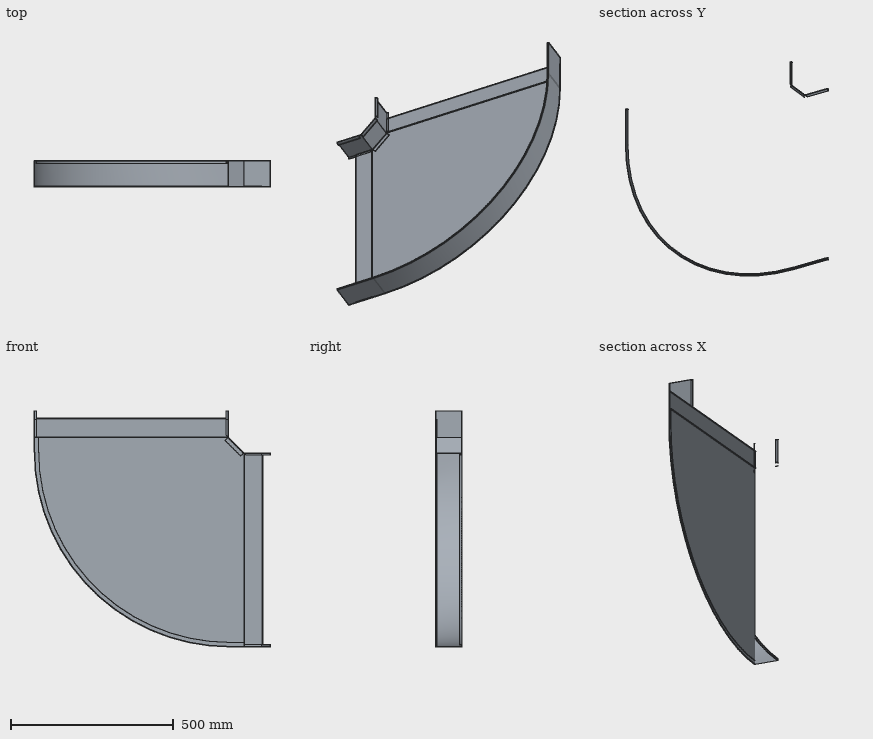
import cadquery as cq
import math

SIZE = 725.0
DEPTH = 82.0
SHEET = 1.5
BEND_RADIUS = 1.5
RIM_RADIUS = 3.5
ARC_RADIUS = 600.0
CHANNEL_WIDTH = 596.0
END_LENGTH = 81.0
RIM_WIDTH = 7.0
RIM_RETURN = 9.0
WIDE_FLANGE = 14.0
PANEL_SETBACK = 22.5
STEP_LENGTH = 1.5

END_START = SIZE - END_LENGTH
CORNER_LENGTH = (END_START - CHANNEL_WIDTH) * math.sqrt(2)
SYMMETRY_NORMAL = (1, 0, -1)


def mirrored(body):
    """Copy of a body reflected in the plane X = Z."""
    return body.mirror(SYMMETRY_NORMAL)


def wall_section(plane, front_flange):
    """C-section of a wall: local x runs from the outer face into the duct, local y is depth."""
    back_inside = DEPTH - SHEET
    bend_end = DEPTH - BEND_RADIUS
    rim_bend = RIM_WIDTH - RIM_RADIUS
    lip_start = DEPTH - RIM_RADIUS
    lip_end = DEPTH - RIM_RETURN
    return (
        cq.Workplane(plane)
        .moveTo(front_flange, 0)
        .lineTo(BEND_RADIUS, 0)
        .radiusArc((0, BEND_RADIUS), BEND_RADIUS)
        .lineTo(0, bend_end)
        .radiusArc((BEND_RADIUS, DEPTH), BEND_RADIUS)
        .lineTo(rim_bend, DEPTH)
        .radiusArc((RIM_WIDTH, lip_start), RIM_RADIUS)
        .lineTo(RIM_WIDTH, lip_end)
        .lineTo(RIM_WIDTH - SHEET, lip_end)
        .lineTo(RIM_WIDTH - SHEET, lip_start)
        .radiusArc((rim_bend, back_inside), SHEET - RIM_RADIUS)
        .lineTo(SHEET, back_inside)
        .lineTo(SHEET, SHEET)
        .lineTo(front_flange, SHEET)
        .close()
    )


def make_outer_wall():
    """Curved wall with a straight end on each side."""
    arc_plane = cq.Plane((0, 0, ARC_RADIUS), xDir=(1, 0, 0), normal=(0, 0, 1))
    end_plane = cq.Plane((0, 0, END_START), xDir=(1, 0, 0), normal=(0, 0, 1))
    curve = wall_section(arc_plane, WIDE_FLANGE).revolve(90, (ARC_RADIUS, 0), (ARC_RADIUS, -1))
    run_in = wall_section(arc_plane, WIDE_FLANGE).extrude(END_START - ARC_RADIUS)
    end = wall_section(end_plane, RIM_WIDTH).extrude(END_LENGTH)
    side = run_in.union(end)
    return curve.union(side).union(mirrored(side))


def make_inner_wall():
    """Two straight ends joined by a 45 degree corner face; the rims are cut free at both bends."""
    end_plane = cq.Plane((CHANNEL_WIDTH, 0, SIZE), xDir=(-1, 0, 0), normal=(0, 0, -1))
    end = wall_section(end_plane, RIM_WIDTH).extrude(END_LENGTH)
    mitre = (
        cq.Workplane("XZ")
        .polyline([
            (CHANNEL_WIDTH - SHEET, END_START),
            (CHANNEL_WIDTH - RIM_WIDTH, END_START),
            (CHANNEL_WIDTH - RIM_WIDTH, END_START + RIM_WIDTH),
            (CHANNEL_WIDTH - SHEET, END_START + SHEET),
        ])
        .close()
        .extrude(-DEPTH)
    )
    bend = (
        cq.Workplane("XY", origin=(CHANNEL_WIDTH, 0, END_START))
        .moveTo(-SHEET, SHEET)
        .rect(SHEET, DEPTH - 2 * SHEET, centered=False)
        .revolve(45, (0, 0), (0, -1))
    )
    side = end.cut(mitre).union(bend)

    corner_plane = cq.Plane((CHANNEL_WIDTH, 0, END_START), xDir=(-1, 0, -1), normal=(1, 0, -1))
    corner = wall_section(corner_plane, WIDE_FLANGE).extrude(CORNER_LENGTH)
    return corner.union(side).union(mirrored(side))


def make_panel():
    """Front panel behind the wide flanges, set back to a lipped strip at each open end."""
    corner_edge = CHANNEL_WIDTH - SHEET * math.sqrt(2)
    arc_middle = ARC_RADIUS - (ARC_RADIUS - SHEET) / math.sqrt(2)
    field = (
        cq.Workplane("XZ", origin=(0, SHEET, 0))
        .moveTo(SHEET, END_START)
        .lineTo(corner_edge, END_START)
        .lineTo(END_START, corner_edge)
        .lineTo(END_START, SHEET)
        .lineTo(ARC_RADIUS, SHEET)
        .threePointArc((arc_middle, arc_middle), (SHEET, ARC_RADIUS))
        .close()
        .extrude(-SHEET)
    )

    front = 2 * SHEET
    back = 3 * SHEET
    step_end = END_START + STEP_LENGTH
    lip_edge = SIZE - PANEL_SETBACK
    lip_inside = lip_edge - SHEET
    lip_start = lip_inside - front
    strip = (
        cq.Workplane("YZ", origin=(SHEET, 0, 0))
        .polyline([
            (SHEET, END_START),
            (front, step_end),
            (front, lip_start),
            (back, lip_start),
            (back, step_end),
            (front, END_START),
        ])
        .close()
        .extrude(CHANNEL_WIDTH - 2 * SHEET)
    )
    lip = (
        cq.Workplane("YZ", origin=(RIM_WIDTH, 0, 0))
        .moveTo(front, lip_start)
        .radiusArc((0, lip_inside), -front)
        .lineTo(0, lip_edge)
        .radiusArc((back, lip_start), back)
        .close()
        .extrude(CHANNEL_WIDTH - 2 * RIM_WIDTH)
    )
    edge_strip = strip.union(lip)
    return field.union(edge_strip).union(mirrored(edge_strip))


outer_wall = make_outer_wall()
inner_wall = make_inner_wall()
panel = make_panel()

result = cq.Compound.makeCompound([outer_wall.val(), inner_wall.val(), panel.val()])